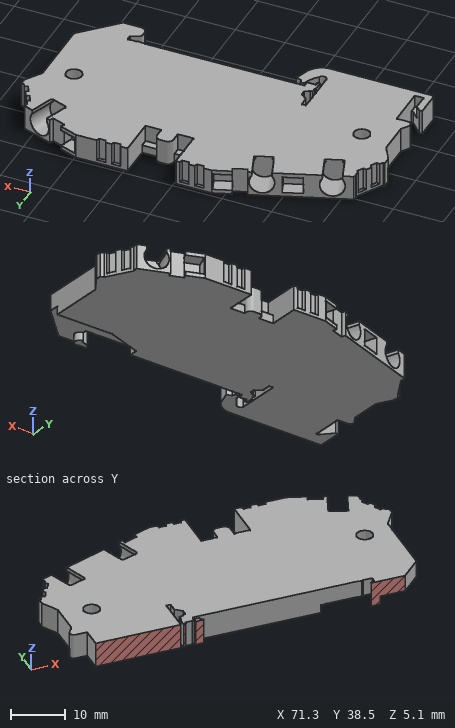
import cadquery as cq
import math

length = 71.3
height = 38.5
thickness = 5.1

shoulder_angle = 20.0
crest_left = 28.0
crest_right = 55.4
shoulder_left_end = 3.4
shoulder_right_end = 67.7
notch_start = 3.8
notch_end = 6.6
notch_depth = 0.85

end_face_angle = 60.0
left_face_foot = (0.35, 23.25)
right_face_head = (67.65, 32.95)
left_face_length = 6.05
right_face_length = 5.85

gap_left = 35.2
gap_right = 44.9
gap_floor = 30.6
gap_ledge = 32.1
ledge_height = 1.7
peg_width = 3.35
peg_top = 33.6
peg_radius = 1.15

left_wall = 1.85
right_wall = 69.1
right_wall_bottom = 9.2
rail_face = 6.85
foot_left = 57.3
foot_bottom = 2.35
foot_right = right_wall - (right_wall_bottom - foot_bottom)
foot_radius = 1.4
hook_wall = 59.3
clip_slot_left = 20.8
clip_slot_top = 12.5
heel_left = 0.65
heel_wall = 3.9
heel_top = 5.35
heel_radius = 0.4

relief_height = 1.7
relief_start = 49.2
relief_slope_end = 56.6
relief_slope_start_y = 8.7
relief_top = 11.35
tip_bottom = 4.1
tip_round_start = 58.8
tip_right = 60.4
tip_round_middle = 5.35
tip_round_end = 6.1

heel_pocket_left = 2.15
heel_pocket_bottom = 1.4

pin_hole_diameter = 3.15
pin_hole_centres = [(7.7, 16.55), (63.7, 21.0)]

blind_depth = thickness / 2

socket_depth = 5.1
socket_radius = 2.35
socket_axis_z = 2.9
socket_mouth = 3.7
socket_corner_radius = 0.35
socket_overrun = 0.7
inner_socket = 9.3
outer_socket = 22.25
window_depth = 2.85
window_bottom = 0.85
window_top = 4.3
test_window_start = 13.0
test_window_end = 16.9
crest_window_start = 0.2

marker_floor_z = 0.7
marker_width = 1.8
marker_floor_width = 1.35
marker_depth = 0.65
marker_pitch = 3.0


def along(start, angle, distance, inset=0.0):
    """Point at a distance from start along a direction, moved to the right of it by inset."""
    a = math.radians(angle)
    return (
        start[0] + distance * math.cos(a) + inset * math.sin(a),
        start[1] + distance * math.sin(a) - inset * math.cos(a),
    )


left_shoulder = ((crest_left, height), 180 + shoulder_angle, -1)
right_shoulder = ((crest_right, height), -shoulder_angle, 1)


def on_shoulder(shoulder, distance, depth=0.0):
    """Point on a shoulder at a distance from its crest and a depth below its surface."""
    crest, angle, inward = shoulder
    return along(crest, angle, distance, inward * depth)


def prism(points, bottom, top):
    """Closed polygon in XY, extruded between two heights."""
    return cq.Workplane("XY").workplane(offset=bottom).polyline(points).close().extrude(top - bottom)


def block(x_min, x_max, y_min, y_max, bottom, top):
    """Box given by its limits."""
    corners = [(x_min, y_min), (x_max, y_min), (x_max, y_max), (x_min, y_max)]
    return prism(corners, bottom, top)


def shoulder_notch(shoulder):
    """Corners of the shoulder notch, from the crest downwards."""
    return [
        on_shoulder(shoulder, notch_start),
        on_shoulder(shoulder, notch_start, notch_depth),
        on_shoulder(shoulder, notch_end, notch_depth),
        on_shoulder(shoulder, notch_end),
    ]


def shoulder_end(shoulder, x):
    """Point on a shoulder at a given X."""
    return on_shoulder(shoulder, abs(x - shoulder[0][0]) / math.cos(math.radians(shoulder_angle)))


def make_plate():
    """Outline of the whole housing, clockwise from the heel, extruded to full thickness."""
    outline = (
        cq.Workplane("XY")
        .moveTo(heel_left + heel_radius, 0)
        .radiusArc((heel_left, heel_radius), heel_radius)
    )

    outline = (
        outline.lineTo(heel_left, heel_top)
        .lineTo(1.3, heel_top)
        .lineTo(3.5, 3.0)
        .lineTo(heel_wall, 3.0)
        .lineTo(heel_wall, 9.5)
        .lineTo(1.5, 9.5)
        .threePointArc((0.9, 9.85), (0.9, 10.7))
        .lineTo(left_wall, 12.1)
        .lineTo(left_wall, 18.6)
        .lineTo(0, 21.8)
        .lineTo(0, 23.45)
        .lineTo(*left_face_foot)
        .lineTo(*along(left_face_foot, end_face_angle, left_face_length))
        .lineTo(3.2, 29.1)
        .lineTo(*shoulder_end(left_shoulder, shoulder_left_end))
    )

    for point in reversed(shoulder_notch(left_shoulder)):
        outline = outline.lineTo(*point)
    outline = outline.lineTo(crest_left, height).lineTo(crest_right, height)
    for point in shoulder_notch(right_shoulder):
        outline = outline.lineTo(*point)

    outline = (
        outline.lineTo(*shoulder_end(right_shoulder, shoulder_right_end))
        .lineTo(*right_face_head)
        .lineTo(*along(right_face_head, -end_face_angle, right_face_length))
        .lineTo(length, 27.5)
        .lineTo(length, 26.45)
        .lineTo(right_wall, 23.1)
        .lineTo(right_wall, right_wall_bottom)
        .lineTo(foot_right, foot_bottom)
        .lineTo(foot_left + foot_radius, foot_bottom)
        .radiusArc((foot_left, foot_bottom + foot_radius), foot_radius)
        .lineTo(foot_left, 4.55)
        .threePointArc((57.5, 4.9), (57.8, 5.1))
        .lineTo(hook_wall, 5.8)
        .lineTo(hook_wall, rail_face)
        .lineTo(57.6, rail_face)
        .lineTo(57.25, 6.7)
        .lineTo(56.05, rail_face)
    )

    outline = (
        outline.lineTo(23.75, rail_face)
        .lineTo(23.75, 6.0)
        .lineTo(23.25, 5.8)
        .lineTo(21.9, 5.8)
        .lineTo(21.9, 5.1)
        .lineTo(21.3, 5.1)
        .lineTo(21.3, 6.8)
        .lineTo(21.5, 7.0)
        .lineTo(21.5, 7.9)
        .lineTo(21.95, 8.0)
        .lineTo(22.95, 8.55)
        .lineTo(22.95, 9.55)
        .lineTo(21.7, 10.6)
        .lineTo(21.7, clip_slot_top)
        .lineTo(clip_slot_left, clip_slot_top)
        .lineTo(clip_slot_left, 3.35)
    )

    outline = (
        outline.threePointArc((21.5, 2.8), (22.3, 3.3))
        .threePointArc((23.4, 4.6), (23.95, 6.2))
        .lineTo(24.8, 6.2)
        .lineTo(24.95, 5.55)
        .lineTo(26.1, 5.2)
        .lineTo(25.25, 2.6)
        .threePointArc((23.9, 0.8), (21.5, 0))
        .close()
    )
    return outline.extrude(thickness)


def make_bridge_gap():
    """Gap in the flat top, with a low ledge at its floor and a round-headed peg left standing."""
    gap_centre = (gap_left + gap_right) / 2
    gap = block(gap_left, gap_right, gap_ledge, height, 0, thickness)
    gap = gap.union(block(gap_left, gap_right, gap_floor, height, ledge_height, thickness))
    peg = block(gap_centre - peg_width / 2, gap_centre + peg_width / 2, gap_floor, peg_top, 0, thickness)
    return gap.cut(peg.edges("|Z and >Y").fillet(peg_radius))


def make_socket(shoulder, distance):
    """Round wire socket square to the shoulder, opened to the top face by a straight mouth."""
    half = socket_mouth / 2
    mouth = prism(
        [
            on_shoulder(shoulder, distance - half, -socket_overrun),
            on_shoulder(shoulder, distance + half, -socket_overrun),
            on_shoulder(shoulder, distance + half, socket_depth),
            on_shoulder(shoulder, distance - half, socket_depth),
        ],
        socket_axis_z,
        thickness,
    )
    floor_x, floor_y = on_shoulder(shoulder, distance, socket_depth)
    mouth_x, mouth_y = on_shoulder(shoulder, distance)
    floor_edges = cq.selectors.BoxSelector(
        (floor_x - socket_mouth, floor_y - half, 0), (floor_x + socket_mouth, floor_y + half, thickness)
    )
    mouth = mouth.edges("|Z").edges(floor_edges).fillet(socket_corner_radius)
    axis = cq.Vector(mouth_x - floor_x, mouth_y - floor_y, 0)
    bore = cq.Solid.makeCylinder(
        socket_radius, socket_depth + socket_overrun, cq.Vector(floor_x, floor_y, socket_axis_z), axis
    )
    return mouth.union(cq.Workplane(bore))


def make_window(shoulder, start, end, depth):
    """Rectangular window cut square into a shoulder, closed above and below."""
    return prism(
        [
            on_shoulder(shoulder, start),
            on_shoulder(shoulder, end),
            on_shoulder(shoulder, end, depth),
            on_shoulder(shoulder, start, depth),
        ],
        window_bottom,
        window_top,
    )


def make_marker_slots(start, angle, first_centre):
    """Pair of trapezoid slots in an edge that runs clockwise from start."""
    slots = cq.Workplane("XY")
    for centre in (first_centre, first_centre + marker_pitch):
        points = [
            along(start, angle, centre - marker_width / 2),
            along(start, angle, centre + marker_width / 2),
            along(start, angle, centre + marker_floor_width / 2, marker_depth),
            along(start, angle, centre - marker_floor_width / 2, marker_depth),
        ]
        slots = slots.add(prism(points, marker_floor_z, thickness))
    return slots.combine()


def make_foot_relief():
    """Underside recess around the rail foot, leaving only a narrow rounded tip of it."""
    recess = prism(
        [
            (relief_start, 0),
            (relief_start, relief_slope_start_y),
            (relief_slope_end, relief_top),
            (right_wall, relief_top),
            (right_wall, 0),
        ],
        0,
        relief_height,
    )
    tip = (
        cq.Workplane("XY")
        .moveTo(foot_left, tip_round_end)
        .lineTo(foot_left, tip_bottom)
        .lineTo(tip_round_start, tip_bottom)
        .threePointArc((tip_right, tip_round_middle), (hook_wall, tip_round_end))
        .close()
        .extrude(relief_height)
    )
    return recess.cut(tip)


result = make_plate().cut(make_bridge_gap()).cut(make_foot_relief())

for shoulder, distance in (
    (left_shoulder, inner_socket),
    (left_shoulder, outer_socket),
    (right_shoulder, inner_socket),
):
    result = result.cut(make_socket(shoulder, distance))

result = result.cut(make_window(left_shoulder, test_window_start, test_window_end, window_depth))
for shoulder in (left_shoulder, right_shoulder):
    result = result.cut(make_window(shoulder, crest_window_start, notch_start, window_depth))

for start, angle, first_centre in (
    (left_face_foot, end_face_angle, 1.7),
    ((crest_left, height), 0, 2.5),
    ((gap_right, height), 0, 2.35),
    (right_face_head, -end_face_angle, 1.5),
):
    result = result.cut(make_marker_slots(start, angle, first_centre))

blind_floor = thickness - blind_depth
pin_holes = (
    cq.Workplane("XY")
    .workplane(offset=blind_floor)
    .pushPoints(pin_hole_centres)
    .circle(pin_hole_diameter / 2)
    .extrude(blind_depth)
)
heel_pocket = block(heel_pocket_left, heel_wall, heel_pocket_bottom, heel_top, blind_floor, thickness)
result = result.cut(pin_holes).cut(heel_pocket)